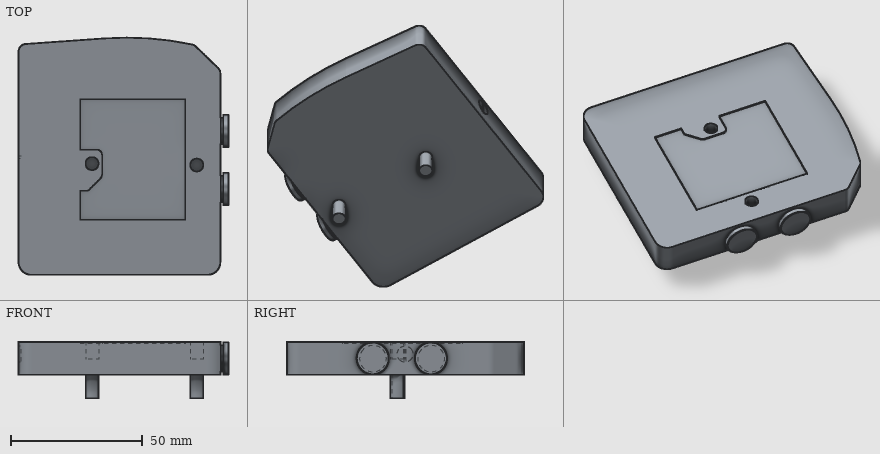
import cadquery as cq
import math

plate_width = 76.7
plate_length = 90.1
plate_thickness = 12.5
left_side_height = 87.5
crown_radius = 118.9
crown_center_x = 41.2
chamfer_start_x = 66.7
chamfer_end_y = 77.7
front_corner_radius = 5.0
back_corner_radius = 3.0

pocket_left = 23.4
pocket_right = 63.3
pocket_front = 21.0
pocket_back = 66.7
pocket_depth = 0.5
tab_right = 31.7
tab_front = 31.9
tab_back = 47.6
tab_slope_start_x = 26.4
tab_slope_end_y = 37.2
tab_radius = 2.0

pin_diameter = 5.0
pin_length = 8.9
pin_hole_depth = 6.3
pin_centers = [(27.9, 42.3), (67.7, 41.7)]

screw_diameter = 6.0
screw_y = 44.8
screw_z = 8.0
screw_recess = 0.1
slot_width = 0.8
slot_depth = 0.9

knob_diameter = 12.3
knob_neck_diameter = 10.1
knob_neck_length = 1.0
knob_head_length = 2.1
knob_edge_chamfer = 0.2
knob_z = 6.3
knob_centers_y = [32.6, 54.7]


def make_plate():
    """Plate with a crowned back edge and a sloped back right corner."""
    crown_center_y = plate_length - crown_radius

    corner_rise = left_side_height - crown_center_y
    corner_distance = math.hypot(crown_center_x, corner_rise)
    tangent_length = math.sqrt(corner_distance**2 - crown_radius**2)
    back_slope = math.asin(crown_radius / corner_distance) - math.atan2(corner_rise, crown_center_x)
    crown_start = (
        tangent_length * math.cos(back_slope),
        left_side_height + tangent_length * math.sin(back_slope),
    )
    chamfer_offset = chamfer_start_x - crown_center_x
    chamfer_start_y = crown_center_y + math.sqrt(crown_radius**2 - chamfer_offset**2)

    plate = (
        cq.Workplane("XY")
        .moveTo(0, 0)
        .lineTo(plate_width, 0)
        .lineTo(plate_width, chamfer_end_y)
        .lineTo(chamfer_start_x, chamfer_start_y)
        .threePointArc((crown_center_x, plate_length), crown_start)
        .lineTo(0, left_side_height)
        .close()
        .extrude(plate_thickness)
    )
    plate = plate.edges("|Z and <Y").fillet(front_corner_radius)
    back_corners = [
        (0, left_side_height),
        (plate_width, chamfer_end_y),
        (chamfer_start_x, chamfer_start_y),
    ]
    for x, y in back_corners:
        corner = cq.selectors.NearestToPointSelector((x, y, plate_thickness / 2))
        plate = plate.edges("|Z").edges(corner).fillet(back_corner_radius)
    return plate


def make_pocket():
    """Rectangular pocket volume, less the rounded tab around the left pin hole."""
    floor = cq.Workplane("XY").workplane(offset=plate_thickness - pocket_depth)
    pocket = (
        floor.moveTo(pocket_left, pocket_front)
        .lineTo(pocket_right, pocket_front)
        .lineTo(pocket_right, pocket_back)
        .lineTo(pocket_left, pocket_back)
        .close()
        .extrude(pocket_depth)
    )
    tab = (
        floor.moveTo(pocket_left, tab_front)
        .lineTo(tab_slope_start_x, tab_front)
        .lineTo(tab_right, tab_slope_end_y)
        .lineTo(tab_right, tab_back)
        .lineTo(pocket_left, tab_back)
        .close()
        .extrude(pocket_depth)
        .edges("|Z and >X")
        .fillet(tab_radius)
    )
    return pocket.cut(tab)


def make_pins():
    """Guide pins hanging from the underside."""
    return cq.Workplane("XY").pushPoints(pin_centers).circle(pin_diameter / 2).extrude(-pin_length)


def make_pin_holes():
    """Blind holes sunk from the top face on the pin axes."""
    top = cq.Workplane("XY").workplane(offset=plate_thickness)
    return top.pushPoints(pin_centers).circle(pin_diameter / 2).extrude(-pin_hole_depth)


def make_screw_cut():
    """Slightly recessed round screw head with an upright driver slot."""
    side = cq.Workplane("YZ").center(screw_y, screw_z)
    head = side.circle(screw_diameter / 2).extrude(screw_recess)
    slot = side.rect(slot_width, screw_diameter).extrude(slot_depth)
    slot = slot.intersect(side.circle(screw_diameter / 2).extrude(slot_depth))
    return head.union(slot)


def make_knob(y):
    """Flat knob on a narrower neck, pointing along +X."""
    neck = (
        cq.Workplane("YZ", origin=(plate_width, y, knob_z))
        .circle(knob_neck_diameter / 2)
        .extrude(knob_neck_length)
    )
    head = (
        cq.Workplane("YZ", origin=(plate_width + knob_neck_length, y, knob_z))
        .circle(knob_diameter / 2)
        .extrude(knob_head_length)
        .faces(">X")
        .chamfer(knob_edge_chamfer)
    )
    return neck.union(head)


result = make_plate().union(make_pins())
for knob_y in knob_centers_y:
    result = result.union(make_knob(knob_y))
result = result.cut(make_pocket()).cut(make_pin_holes()).cut(make_screw_cut())